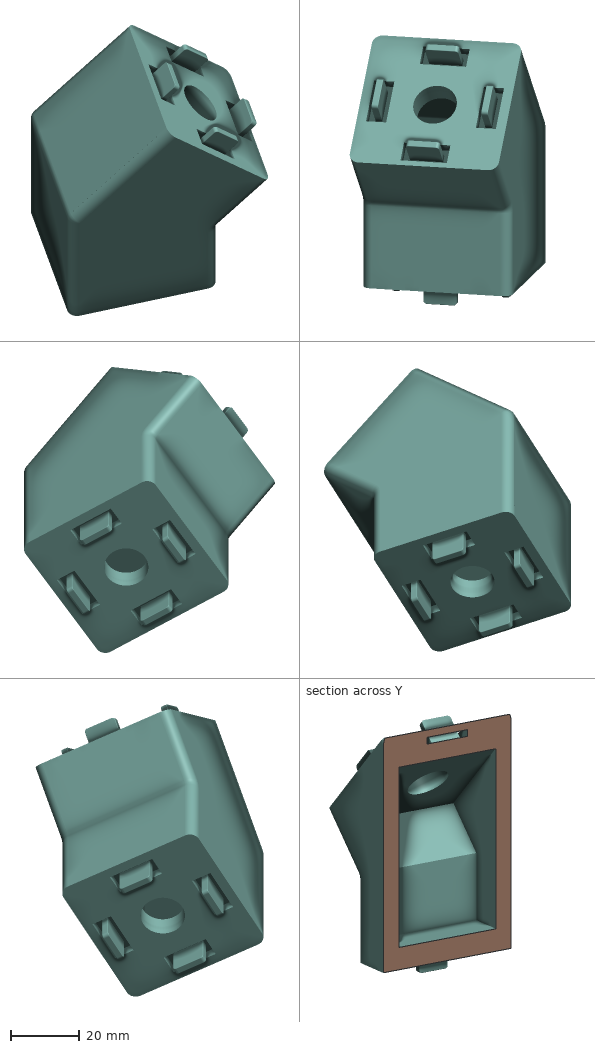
import cadquery as cq
import math

width = 45.0
lean_angle = 45.0
lower_length = 42.65
upper_length = 42.5
upper_depth = 43.65
corner_radius = 2.95
back_bend_radius = 4.0 / 2

tab_width = 10.0
tab_thickness = 2.0
tab_height = 5.0
tab_corner_radius = 1.0
tab_edge_radius = 0.15
tab_pitch = 33.1
slot_length = 14.0
slot_width = 6.05
slot_depth = 3.0
hole_diameter = 13.0

end_wall = 7.0
back_wall = 4.0

panel_width = 39.9
panel_margin = 4.0
panel_thickness = 2.0
ledge = end_wall - panel_margin
cavity_width = panel_width - 2 * ledge

lean = math.radians(lean_angle)
front_y = -width / 2
back_y = width / 2
front_bend = (front_y, lower_length)
along = (math.sin(lean), math.cos(lean))
across = (math.cos(lean), -math.sin(lean))


def upper_point(distance_along, distance_across):
    """(y, z) of a point in the upper leg, measured from the sharp front bend."""
    y = front_bend[0] + distance_along * along[0] + distance_across * across[0]
    z = front_bend[1] + distance_along * along[1] + distance_across * across[1]
    return (y, z)


def back_bend_point(inset=0):
    """(y, z) where the back faces of the two legs meet, or planes set in from them."""
    distance_across = upper_depth - inset
    distance_along = (width - inset - distance_across * across[0]) / along[0]
    return upper_point(distance_along, distance_across)


def extrude_profile(points, length):
    """Solid from a (y, z) outline, centred on X = 0."""
    return cq.Workplane("YZ").polyline(points).close().extrude(length / 2, both=True)


def bend_edge(solid, point):
    """The edge along X that passes through a (y, z) point."""
    return solid.edges("|X").edges(cq.selectors.NearestToPointSelector((0, *point)))


def make_panel():
    """Sheet of constant thickness bent over the front of both legs."""
    inner_y = front_y + panel_thickness
    inner_bend = (inner_y, lower_length - panel_thickness * math.tan(lean / 2))
    upper_end = upper_length - panel_margin
    panel = extrude_profile(
        [
            (front_y, panel_margin),
            front_bend,
            upper_point(upper_end, 0),
            upper_point(upper_end, panel_thickness),
            inner_bend,
            (inner_y, panel_margin),
        ],
        panel_width,
    )
    panel = bend_edge(panel, front_bend).fillet(corner_radius)
    return bend_edge(panel, inner_bend).fillet(corner_radius - panel_thickness)


def make_cavity():
    """Space inside the walls, following both legs."""
    upper_end = upper_length - end_wall
    return extrude_profile(
        [
            (front_y, end_wall),
            front_bend,
            upper_point(upper_end, 0),
            upper_point(upper_end, upper_depth - back_wall),
            back_bend_point(back_wall),
            (back_y - back_wall, end_wall),
        ],
        cavity_width,
    )


end_planes = [
    cq.Plane(origin=(0, 0, 0), xDir=(1, 0, 0), normal=(0, 0, -1)),
    cq.Plane(origin=(0, *upper_point(upper_length, width / 2)), xDir=(1, 0, 0), normal=(0, *along)),
]


def round_long_edges(shell):
    """Round the side edges, leaving the edges of both end faces sharp."""
    end_faces = [shell.faces(cq.selectors.DirectionMinMaxSelector(p.zDir, True)) for p in end_planes]
    sharp = [edge for face in end_faces for edge in face.edges().vals()]
    side_edges = shell.faces("<X or >X").edges().vals()
    long_edges = [e for e in side_edges if not any(e.isSame(s) for s in sharp)]
    return shell.newObject(long_edges).fillet(corner_radius)


def make_outside():
    """Outer form of the housing with its bends and long edges rounded."""
    shell = extrude_profile(
        [
            (front_y, 0),
            front_bend,
            upper_point(upper_length, 0),
            upper_point(upper_length, upper_depth),
            back_bend_point(),
            (back_y, 0),
        ],
        width,
    )
    shell = bend_edge(shell, back_bend_point()).fillet(back_bend_radius)
    shell = bend_edge(shell, front_bend).fillet(corner_radius)
    return round_long_edges(shell)


def tab_positions():
    """(x, y, turn) of the four tabs, one on each side of the end face."""
    reach = tab_pitch / 2
    return [(0, reach, 0), (0, -reach, 0), (reach, 0, 90), (-reach, 0, 90)]


def place(solid, plane, position):
    """Move a solid from the origin to a tab position on an end face."""
    x, y, turn = position
    turned = solid.val().rotate((0, 0, 0), (0, 0, 1), turn)
    return turned.translate((x, y, 0)).moved(plane.location)


def make_slot():
    """Pocket cutter below the end face, long side along X."""
    slot = cq.Workplane().box(slot_length, slot_width, slot_depth, centered=(True, True, False))
    return slot.translate((0, 0, -slot_depth))


def make_tab():
    """Blade from the slot floor to beyond the end face, with rounded tip corners."""
    blade = cq.Workplane().box(
        tab_width, tab_thickness, slot_depth + tab_height, centered=(True, True, False)
    )
    blade = blade.edges("|Y and >Z").fillet(tab_corner_radius)
    blade = blade.faces("<Y or >Y").edges("not <Z").fillet(tab_edge_radius)
    return blade.translate((0, 0, -slot_depth))


def make_housing(panel):
    """Hollow bent housing with a hole and four tabs at each end and a seat for the panel."""
    housing = make_outside().cut(make_cavity())
    for plane in end_planes:
        hole = cq.Workplane(plane).circle(hole_diameter / 2).extrude(-end_wall)
        housing = housing.cut(hole)
        for position in tab_positions():
            housing = housing.cut(cq.Workplane(place(make_slot(), plane, position)))
            housing = housing.union(cq.Workplane(place(make_tab(), plane, position)))
    return housing.cut(panel)


panel = make_panel()
housing = make_housing(panel)
result = cq.Compound.makeCompound([housing.val(), panel.val()])